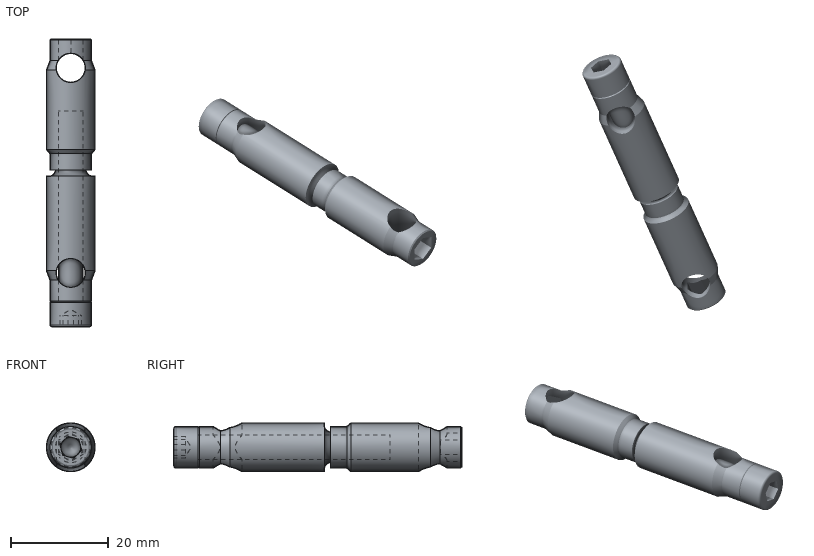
import cadquery as cq
length = 59.0
sleeve_diameter = 10.0
end_diameter = 8.5
end_edge_chamfer = 0.25
shank_diameter = 5.0
cross_hole_diameter = 5.9
rear_end = length / 2
head_end = -length / 2

front_hole_y = -18.45
rear_hole_y = 23.55
taper_inner_offset = 0.5
taper_outer_offset = 1.5

front_sleeve_outer_end = -24.5
front_sleeve_inner_end = 1.35
boss_tip_diameter = 6.25
boss_length = 1.25
boss_flare_radius = 1.5

neck_end = front_sleeve_inner_end + boss_length
neck_length = 3.35
neck_chamfer_length = 0.8
passage_across_flats = 5.0
passage_turn = 0.0

head_edge_fillet = 0.5
shank_end = 14.75
socket_across_flats = 4.0
socket_turn = 15.0
socket_depth = 2.35
socket_cone_diameter = 4.1
socket_cone_depth = 1.2

sleeve_radius = sleeve_diameter / 2
end_radius = end_diameter / 2
shank_radius = shank_diameter / 2
boss_tip_radius = boss_tip_diameter / 2


def turned(outline):
    """Revolve a closed XY half outline about the Y axis."""
    return outline.close().revolve(360, (0, 0, 0), (0, 1, 0))


def cross_hole(y):
    """Cylinder along Z that cuts a through hole at the given Y."""
    return (
        cq.Workplane("XY", origin=(0, y, 0))
        .circle(cross_hole_diameter / 2)
        .extrude(sleeve_diameter, both=True)
    )


def shank(start, end):
    """Cylinder of the screw shank between two Y positions."""
    return cq.Workplane("XZ", origin=(0, start, 0)).circle(shank_radius).extrude(start - end)


def hex_prism(across_flats, turn, start, end):
    """Hexagonal prism along Y; with no turn it has two corners on the X axis."""
    return (
        cq.Workplane("XZ", origin=(0, start, 0))
        .transformed(rotate=(0, 0, turn))
        .polygon(6, across_flats, circumscribed=True)
        .extrude(start - end)
    )


def make_front_sleeve():
    outline = (
        cq.Workplane("XY")
        .moveTo(0, front_sleeve_outer_end)
        .lineTo(end_radius - end_edge_chamfer, front_sleeve_outer_end)
        .lineTo(end_radius, front_sleeve_outer_end + end_edge_chamfer)
        .lineTo(end_radius, front_hole_y - taper_outer_offset)
        .lineTo(sleeve_radius, front_hole_y + taper_inner_offset)
        .lineTo(sleeve_radius, front_sleeve_inner_end)
        .lineTo(end_radius, front_sleeve_inner_end)
        .radiusArc((boss_tip_radius, neck_end), boss_flare_radius)
        .lineTo(0, neck_end)
    )
    bore = shank(front_sleeve_outer_end, neck_end)
    return turned(outline).cut(bore).cut(cross_hole(front_hole_y))


def make_rear_sleeve():
    neck_top = neck_end + neck_length
    outline = (
        cq.Workplane("XY")
        .moveTo(0, neck_end)
        .lineTo(end_radius, neck_end)
        .lineTo(end_radius, neck_top)
        .lineTo(sleeve_radius, neck_top + neck_chamfer_length)
        .lineTo(sleeve_radius, rear_hole_y - taper_inner_offset)
        .lineTo(end_radius, rear_hole_y + taper_outer_offset)
        .lineTo(end_radius, rear_end - end_edge_chamfer)
        .lineTo(end_radius - end_edge_chamfer, rear_end)
        .lineTo(0, rear_end)
    )
    bore = shank(neck_end, shank_end)
    key_passage = hex_prism(passage_across_flats, passage_turn, rear_hole_y, rear_end)
    return turned(outline).cut(bore).cut(cross_hole(rear_hole_y)).cut(key_passage)


def make_socket():
    """Hexagonal socket with a conical bottom, sunk into the screw head."""
    bottom = head_end + socket_depth
    hexagon = hex_prism(socket_across_flats, socket_turn, head_end, bottom)
    cone = turned(
        cq.Workplane("XY")
        .moveTo(0, bottom)
        .lineTo(socket_cone_diameter / 2, bottom)
        .lineTo(0, bottom + socket_cone_depth)
    )
    return hexagon.union(cone)


def make_screw():
    head = (
        cq.Workplane("XZ", origin=(0, head_end, 0))
        .circle(end_radius)
        .extrude(head_end - front_sleeve_outer_end)
        .faces("<Y")
        .edges()
        .fillet(head_edge_fillet)
    )
    return head.union(shank(front_sleeve_outer_end, shank_end)).cut(make_socket())


front_sleeve = make_front_sleeve()
rear_sleeve = make_rear_sleeve()
screw = make_screw()

result = cq.Compound.makeCompound([front_sleeve.val(), rear_sleeve.val(), screw.val()])